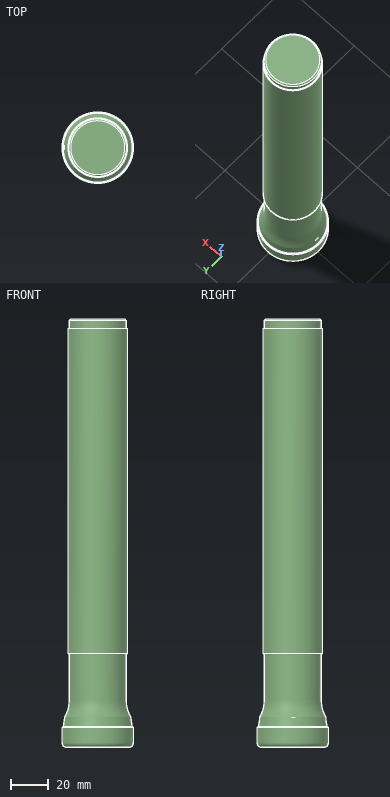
import cadquery as cq
import math

TOTAL_LENGTH = 228.5
HEAD_DIAMETER = 38.2
SHANK_DIAMETER = 31.8
NECK_DIAMETER = 30.6

HEAD_HEIGHT = 11.2
HEAD_CORNER_RADIUS = 2.5
HEAD_TOP_CHAMFER = 0.5

LOWER_CONE_BOTTOM_DIAMETER = 36.8
LOWER_CONE_HEIGHT = 4.8
UPPER_CONE_HEIGHT = 2.0
UPPER_CONE_ANGLE = math.radians(24.5)
BLEND_RADIUS = 16.5

SHANK_BOTTOM_Z = 50.0
TIP_LENGTH = 5.0
TIP_CHAMFER = 1.0

HEAD_RADIUS = HEAD_DIAMETER / 2
SHANK_RADIUS = SHANK_DIAMETER / 2
NECK_RADIUS = NECK_DIAMETER / 2


def turned(half_profile):
    """Revolve a closed (radius, Z) profile about the Z axis into a full body."""
    return half_profile.close().revolve(360, (0, 0), (0, 1))


def make_head():
    """Cutting head with a rounded bottom rim and a lightly chamfered top rim."""
    disc = cq.Workplane("XY").circle(HEAD_RADIUS).extrude(HEAD_HEIGHT)
    rounded = disc.faces("<Z").edges().fillet(HEAD_CORNER_RADIUS)
    return rounded.faces(">Z").edges().chamfer(HEAD_TOP_CHAMFER)


def make_holder():
    """Holder: flare, blend, neck, shank and reduced tip turned from one profile."""
    lower_cone_top_z = HEAD_HEIGHT + LOWER_CONE_HEIGHT
    blend_start_z = lower_cone_top_z + UPPER_CONE_HEIGHT
    blend_start_radius = NECK_RADIUS + BLEND_RADIUS * (1 - math.cos(UPPER_CONE_ANGLE))
    lower_cone_top_radius = blend_start_radius + UPPER_CONE_HEIGHT * math.tan(UPPER_CONE_ANGLE)
    blend_end_z = blend_start_z + BLEND_RADIUS * math.sin(UPPER_CONE_ANGLE)
    half_angle = UPPER_CONE_ANGLE / 2
    blend_middle = (
        NECK_RADIUS + BLEND_RADIUS * (1 - math.cos(half_angle)),
        blend_end_z - BLEND_RADIUS * math.sin(half_angle),
    )
    step_width = SHANK_RADIUS - NECK_RADIUS
    tip_bottom_z = TOTAL_LENGTH - TIP_LENGTH

    profile = (
        cq.Workplane("XZ")
        .moveTo(0, HEAD_HEIGHT)
        .lineTo(LOWER_CONE_BOTTOM_DIAMETER / 2, HEAD_HEIGHT)
        .lineTo(lower_cone_top_radius, lower_cone_top_z)
        .lineTo(blend_start_radius, blend_start_z)
        .threePointArc(blend_middle, (NECK_RADIUS, blend_end_z))
        .lineTo(NECK_RADIUS, SHANK_BOTTOM_Z - step_width)
        .tangentArcPoint((SHANK_RADIUS, SHANK_BOTTOM_Z), relative=False)
        .lineTo(SHANK_RADIUS, tip_bottom_z)
        .lineTo(NECK_RADIUS, tip_bottom_z)
        .lineTo(NECK_RADIUS, TOTAL_LENGTH - TIP_CHAMFER)
        .lineTo(NECK_RADIUS - TIP_CHAMFER, TOTAL_LENGTH)
        .lineTo(0, TOTAL_LENGTH)
    )
    return turned(profile)


head = make_head()
holder = make_holder()

result = cq.Compound.makeCompound([head.val(), holder.val()])